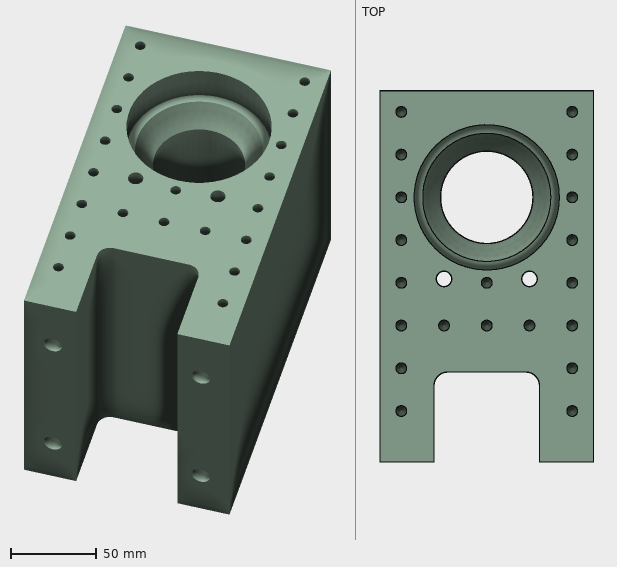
import cadquery as cq
import math

WIDTH = 125.0
LENGTH = 217.5
HEIGHT = 155.0

SLOT_WIDTH = 61.5
SLOT_DEPTH = 52.6
SLOT_CORNER_RADIUS = 7.8

BORE_FROM_BACK = WIDTH / 2
COUNTERBORE_DIAMETER = 85.0
COUNTERBORE_DEPTH = 22.0
SEAT_RIM_DIAMETER = 75.0
SEAT_SPHERE_DIAMETER = COUNTERBORE_DIAMETER
BORE_DIAMETER = 54.0

DRILL_DIAMETER = 6.3
DRILL_DEPTH = 25.0
DRILL_POINT_ANGLE = 90.0

GRID_PITCH = 25.0
GRID_ROWS = 8
GRID_FIRST_FROM_BACK = GRID_PITCH / 2
GRID_OUTER_COLUMN = 2
GRID_FULL_ROW = 5

VERTICAL_DIAMETER = 9.0
VERTICAL_FROM_BACK = 110.3

LONG_DIAMETER = 11.0
LONG_SPACING = 90.0
LONG_LOWER_Z = 30.0

CROSS_FROM_BACK = 57.5
CROSS_Z = 37.0

BACK_Y = LENGTH / 2
FRONT_Y = -LENGTH / 2
LEFT_X = -WIDTH / 2


def slotted_block():
    block = cq.Workplane("XY").box(WIDTH, LENGTH, HEIGHT, centered=(True, True, False))
    slot = (
        cq.Workplane("XY")
        .center(0, FRONT_Y + SLOT_DEPTH / 2)
        .rect(SLOT_WIDTH, SLOT_DEPTH)
        .extrude(HEIGHT)
        .edges("|Z and >Y")
        .fillet(SLOT_CORNER_RADIUS)
    )
    return block.cut(slot)


def stepped_bore():
    """Solid of revolution removed for the counterbore, seat and through bore."""
    bore_radius = BORE_DIAMETER / 2
    rim_radius = SEAT_RIM_DIAMETER / 2
    sphere_radius = SEAT_SPHERE_DIAMETER / 2
    ledge_z = HEIGHT - COUNTERBORE_DEPTH
    sphere_z = ledge_z + math.sqrt(sphere_radius**2 - rim_radius**2)
    seat_bottom_z = sphere_z - math.sqrt(sphere_radius**2 - bore_radius**2)
    middle_radius = (bore_radius + rim_radius) / 2
    middle_z = sphere_z - math.sqrt(sphere_radius**2 - middle_radius**2)
    return (
        cq.Workplane("XZ")
        .lineTo(bore_radius, 0)
        .lineTo(bore_radius, seat_bottom_z)
        .threePointArc((middle_radius, middle_z), (rim_radius, ledge_z))
        .lineTo(COUNTERBORE_DIAMETER / 2, ledge_z)
        .lineTo(COUNTERBORE_DIAMETER / 2, HEIGHT)
        .lineTo(0, HEIGHT)
        .close()
        .revolve(360, (0, 0), (0, 1))
        .translate((0, BACK_Y - BORE_FROM_BACK, 0))
    )


def grid_points():
    """Two outer columns, one row across, and one extra hole on the centre line."""
    rows = [BACK_Y - GRID_FIRST_FROM_BACK - i * GRID_PITCH for i in range(GRID_ROWS)]
    outer_columns = (-GRID_OUTER_COLUMN, GRID_OUTER_COLUMN)
    points = [(column * GRID_PITCH, y) for column in outer_columns for y in rows]
    points += [(column * GRID_PITCH, rows[GRID_FULL_ROW]) for column in (-1, 0, 1)]
    points.append((0, rows[GRID_FULL_ROW - 1]))
    return points


def blind_hole():
    """Drilled hole with its mouth at the origin, going down along Z."""
    radius = DRILL_DIAMETER / 2
    point_length = radius / math.tan(math.radians(DRILL_POINT_ANGLE / 2))
    return (
        cq.Workplane("XZ")
        .lineTo(radius, 0)
        .lineTo(radius, -DRILL_DEPTH)
        .lineTo(0, -DRILL_DEPTH - point_length)
        .close()
        .revolve(360, (0, 0), (0, 1))
    )


def top_holes():
    hole = blind_hole().val()
    top_face = cq.Workplane("XY", origin=(0, 0, HEIGHT))
    return top_face.pushPoints(grid_points()).eachpoint(lambda location: hole.moved(location))


def vertical_holes():
    y = BACK_Y - VERTICAL_FROM_BACK
    points = [(-GRID_PITCH, y), (GRID_PITCH, y)]
    return cq.Workplane("XY").pushPoints(points).circle(VERTICAL_DIAMETER / 2).extrude(HEIGHT)


def lengthwise_holes():
    return (
        cq.Workplane("XZ", origin=(0, BACK_Y, LONG_LOWER_Z + LONG_SPACING / 2))
        .rect(LONG_SPACING, LONG_SPACING, forConstruction=True)
        .vertices()
        .circle(LONG_DIAMETER / 2)
        .extrude(LENGTH)
    )


def cross_hole():
    hole_along_x = blind_hole().rotate((0, 0, 0), (0, 1, 0), -90)
    return hole_along_x.translate((LEFT_X, BACK_Y - CROSS_FROM_BACK, CROSS_Z))


result = slotted_block()
for cutter in (stepped_bore(), top_holes(), vertical_holes(), lengthwise_holes(), cross_hole()):
    result = result.cut(cutter)